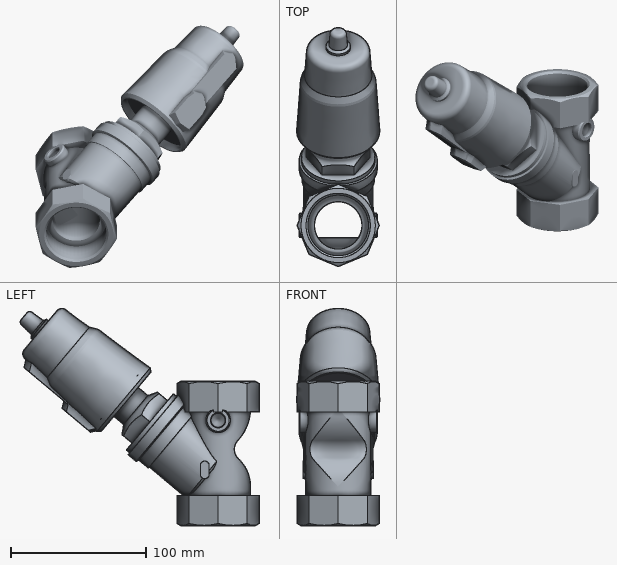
import cadquery as cq
import math

BODY_LENGTH = 107.0
BODY_RADIUS = 24.1
END_ACROSS_FLATS = 56.3
END_HEIGHT = 22.6
END_FACE_DIAMETER = 55.0
END_CHAMFER_ANGLE = 30.0
BORE_DIAMETER = 35.0
SOCKET_DIAMETER = 44.84
SOCKET_DEPTH = 20.0
SOCKET_CHAMFER = 1.4

WAIST_HEIGHT = 56.6
WAIST_DEPTH = 12.0
WAIST_THROAT_RADIUS = 9.8
WAIST_LOWER_LENGTH = 27.7
WAIST_UPPER_LENGTH = 30.6
WEIR_RIDGE_Y = -9.0

LUG_DIAMETER = 18.2
LUG_REACH = 29.1
LUG_HEIGHT = 78.1
LUG_CHAMFER = 0.9
LUG_HOLE_DIAMETER = 10.4
LUG_HOLE_DEPTH = 3.0
LUG_HOLE_CHAMFER = 0.4
DRILL_POINT_ANGLE = 118.0
PAD_LENGTH = 13.0
PAD_WIDTH = 6.6
PAD_REACH = 26.1
PAD_Y = 9.9
PAD_HEIGHT = 41.4

HEAD_ELEVATION = 40.0
HEAD_ORIGIN_HEIGHT = 34.55

BRANCH_START = 7.6
BRANCH_CHAMFER = 1.6
BRANCH_RADIUS = 51.7 / 2
BRANCH_COLLAR_RADIUS = 26.95
BRANCH_COLLAR_START = 44.8
FLANGE_START = 54.0
FLANGE_CONE = 0.8
FLANGE_RADIUS = 29.0
FLANGE_LIP_START = 62.6
FLANGE_LIP_RADIUS = 54.4 / 2
FLANGE_END = 65.9

HEX_ACROSS_FLATS = 41.0
HEX_END = 79.6
HEX_CHAMFER_ANGLE = 30.0
NECK_RADIUS = 28.0 / 2

SKIRT_START = 89.0
SKIRT_RECESS_RADIUS = 27.7
SKIRT_RECESS_DEPTH = 6.0
SKIRT_FOOT_RADIUS = 28.9
SKIRT_WIDEST = 91.4
SKIRT_WIDEST_RADIUS = 30.84
SHOULDER_START = 138.0
SHOULDER_START_RADIUS = 28.1
SHOULDER_CONE_START = 140.0
SHOULDER_CONE_START_RADIUS = 27.6
SHOULDER_CONE_END = 145.2
SHOULDER_CONE_END_RADIUS = 25.0
CAP_START = 147.0
CAP_START_RADIUS = 24.8
CAP_END = 171.5
CAP_END_RADIUS = 23.6
CAP_FILLET = 4.7
COLLAR_RADIUS = 18.2 / 2
COLLAR_HEIGHT = 1.8
COLLAR_CONE = 1.3
STEM_BASE_RADIUS = 6.9
STEM_TIP_RADIUS = 6.1
STEM_END = 187.55
STEM_FILLET = 2.8

RAIL_LOW_ROOT = 20.0
RAIL_LOW_REACH = 29.1
RAIL_LOW_START = 105.0
RAIL_LOW_END = 163.2
RAIL_LOW_NOSE = 5.2
RAIL_HIGH_ROOT = 28.0
RAIL_HIGH_REACH = 34.1
RAIL_HIGH_START = 94.6
RAIL_HIGH_END = 122.2
RAIL_HIGH_NOSE = 4.2
RAIL_START_NOSE = 2.2
RAIL_NOSE_HALF_WIDTH = 0.5
RAIL_HALF_WIDTH = 7.7
RAIL_WIDE_HALF_WIDTH = 9.0
RAIL_WIDE_START = 112.1
RAIL_WIDE_END = 117.3
RAIL_START_SLOPE = 0.75
RAIL_END_SLOPE = 0.5


def cylinder(radius, start, end):
    return cq.Workplane("XY").workplane(offset=start).circle(radius).extrude(end - start)


def end_octagon():
    """Octagonal end with its outer corners chamfered at the bottom, face on z = 0."""
    across_corners = END_ACROSS_FLATS / math.cos(math.pi / 8)
    octagon = cq.Workplane("XY").polygon(8, across_corners).extrude(END_HEIGHT)
    slope = math.tan(math.radians(END_CHAMFER_ANGLE))
    face_radius = END_FACE_DIAMETER / 2
    envelope = (
        cq.Workplane("XZ")
        .polyline(
            [
                (0, 0),
                (face_radius, 0),
                (face_radius + END_HEIGHT / slope, END_HEIGHT),
                (0, END_HEIGHT),
            ]
        )
        .close()
        .revolve(360, (0, 0), (0, 1))
    )
    return octagon.intersect(envelope)


def end_socket():
    """Counterbore with a chamfered mouth, opening on z = 0."""
    radius = SOCKET_DIAMETER / 2
    return (
        cq.Workplane("XZ")
        .polyline(
            [
                (0, 0),
                (radius + SOCKET_CHAMFER, 0),
                (radius, SOCKET_CHAMFER),
                (radius, SOCKET_DEPTH),
                (0, SOCKET_DEPTH),
            ]
        )
        .close()
        .revolve(360, (0, 0), (0, 1))
    )


def at_both_ends(shape):
    mirrored = shape.mirror("XY").translate((0, 0, BODY_LENGTH))
    return shape.union(mirrored)


def waist_shoulder(length, direction):
    """Points (y, z) of the convex shoulder arc: throat tangent point, middle and outer end.

    The shoulder is tangent to the body surface at its outer end and to the throat circle.
    """
    throat_y = -BODY_RADIUS + WAIST_DEPTH - WAIST_THROAT_RADIUS
    centre_distance = (WAIST_DEPTH**2 + length**2) / (2 * WAIST_DEPTH)
    radius = centre_distance - WAIST_THROAT_RADIUS
    centre_y = radius - BODY_RADIUS
    sweep = math.atan2(length, centre_y - throat_y)

    def point_at(angle):
        y = centre_y - radius * math.cos(angle)
        z = direction * (length - radius * math.sin(angle))
        return (y, z)

    return point_at(sweep), point_at(sweep / 2), point_at(0)


def waist_cutter():
    """Prism along X whose outline is two convex shoulders joined by a concave throat."""
    low_tangent, low_middle, low_end = waist_shoulder(WAIST_LOWER_LENGTH, -1)
    high_tangent, high_middle, high_end = waist_shoulder(WAIST_UPPER_LENGTH, 1)
    outside_y = -2 * BODY_RADIUS
    return (
        cq.Workplane("YZ")
        .moveTo(outside_y, low_end[1])
        .lineTo(*low_end)
        .threePointArc(low_middle, low_tangent)
        .threePointArc((-BODY_RADIUS + WAIST_DEPTH, 0), high_tangent)
        .threePointArc(high_middle, high_end)
        .lineTo(outside_y, high_end[1])
        .close()
        .extrude(2 * BODY_RADIUS, both=True)
        .translate((0, 0, WAIST_HEIGHT))
    )


def weir():
    """Prism along X kept out of the bore: two arcs leave the bore wall and meet in a sharp ridge."""
    wall_y = -BORE_DIAMETER / 2
    rise = WEIR_RIDGE_Y - wall_y

    def arc_middle(length):
        radius = (rise**2 + length**2) / (2 * rise)
        half_length = length / 2
        return wall_y + radius - math.sqrt(radius**2 - half_length**2), half_length

    low_y, low_z = arc_middle(WAIST_LOWER_LENGTH)
    high_y, high_z = arc_middle(WAIST_UPPER_LENGTH)
    return (
        cq.Workplane("YZ")
        .moveTo(wall_y, -WAIST_LOWER_LENGTH)
        .threePointArc((low_y, -low_z), (WEIR_RIDGE_Y, 0))
        .threePointArc((high_y, high_z), (wall_y, WAIST_UPPER_LENGTH))
        .close()
        .extrude(BORE_DIAMETER, both=True)
        .translate((0, 0, WAIST_HEIGHT))
    )


def lug_outline(points):
    """Revolve (radius, x) points about the X direction and raise the result to lug height."""
    return (
        cq.Workplane("XY")
        .polyline([(x, radius) for radius, x in points])
        .close()
        .revolve(360, (0, 0), (1, 0))
        .translate((0, 0, LUG_HEIGHT))
    )


def lug():
    radius = LUG_DIAMETER / 2
    return lug_outline(
        [
            (0, 0),
            (radius, 0),
            (radius, LUG_REACH - LUG_CHAMFER),
            (radius - LUG_CHAMFER, LUG_REACH),
            (0, LUG_REACH),
        ]
    )


def lug_hole():
    radius = LUG_HOLE_DIAMETER / 2
    shoulder_x = LUG_REACH - LUG_HOLE_DEPTH
    point_depth = radius / math.tan(math.radians(DRILL_POINT_ANGLE / 2))
    return lug_outline(
        [
            (0, LUG_REACH),
            (radius + LUG_HOLE_CHAMFER, LUG_REACH),
            (radius, LUG_REACH - LUG_HOLE_CHAMFER),
            (radius, shoulder_x),
            (0, shoulder_x - point_depth),
        ]
    )


def arrow_pad():
    return (
        cq.Workplane("YZ")
        .center(PAD_Y, PAD_HEIGHT)
        .slot2D(PAD_LENGTH, PAD_WIDTH, 90)
        .extrude(PAD_REACH)
    )


def on_both_sides(shape):
    return shape.union(shape.mirror("YZ"))


def branch():
    """Branch pipe with its collar and the stepped union flange."""
    return (
        cq.Workplane("XZ")
        .moveTo(0, BRANCH_START)
        .lineTo(BRANCH_RADIUS - BRANCH_CHAMFER, BRANCH_START)
        .lineTo(BRANCH_RADIUS, BRANCH_START + BRANCH_CHAMFER)
        .lineTo(BRANCH_RADIUS, BRANCH_COLLAR_START)
        .lineTo(BRANCH_COLLAR_RADIUS, BRANCH_COLLAR_START)
        .lineTo(BRANCH_COLLAR_RADIUS, FLANGE_START)
        .lineTo(FLANGE_RADIUS, FLANGE_START + FLANGE_CONE)
        .lineTo(FLANGE_RADIUS, FLANGE_LIP_START)
        .lineTo(FLANGE_LIP_RADIUS, FLANGE_LIP_START)
        .lineTo(FLANGE_LIP_RADIUS, FLANGE_END)
        .lineTo(0, FLANGE_END)
        .close()
        .revolve(360, (0, 0), (0, 1))
    )


def union_hexagon():
    """Hexagon tapering to the neck, with corners on the X axis."""
    across_corners = HEX_ACROSS_FLATS / math.cos(math.pi / 6)
    height = HEX_END - FLANGE_END
    hexagon = cq.Workplane("XY").workplane(offset=FLANGE_END).polygon(6, across_corners).extrude(height)
    base_radius = NECK_RADIUS + height / math.tan(math.radians(HEX_CHAMFER_ANGLE))
    envelope = (
        cq.Workplane("XZ")
        .polyline([(0, FLANGE_END), (base_radius, FLANGE_END), (NECK_RADIUS, HEX_END), (0, HEX_END)])
        .close()
        .revolve(360, (0, 0), (0, 1))
    )
    return hexagon.intersect(envelope)


def actuator():
    """Tapered actuator housing, recessed underneath, with the indicator stem on top."""
    recess_floor = SKIRT_START + SKIRT_RECESS_DEPTH
    fillet_middle = CAP_FILLET * (1 - math.sqrt(0.5))
    collar_top = CAP_END + COLLAR_HEIGHT
    stem_start = collar_top + COLLAR_CONE
    stem_middle = STEM_FILLET * (1 - math.sqrt(0.5))
    return (
        cq.Workplane("XZ")
        .moveTo(0, HEX_END)
        .lineTo(NECK_RADIUS, HEX_END)
        .lineTo(NECK_RADIUS, recess_floor)
        .lineTo(SKIRT_RECESS_RADIUS, recess_floor)
        .lineTo(SKIRT_RECESS_RADIUS, SKIRT_START)
        .lineTo(SKIRT_FOOT_RADIUS, SKIRT_START)
        .lineTo(SKIRT_WIDEST_RADIUS, SKIRT_WIDEST)
        .lineTo(SHOULDER_START_RADIUS, SHOULDER_START)
        .lineTo(SHOULDER_CONE_START_RADIUS, SHOULDER_CONE_START)
        .lineTo(SHOULDER_CONE_END_RADIUS, SHOULDER_CONE_END)
        .lineTo(CAP_START_RADIUS, CAP_START)
        .lineTo(CAP_END_RADIUS, CAP_END - CAP_FILLET)
        .threePointArc(
            (CAP_END_RADIUS - fillet_middle, CAP_END - fillet_middle),
            (CAP_END_RADIUS - CAP_FILLET, CAP_END),
        )
        .lineTo(COLLAR_RADIUS, CAP_END)
        .lineTo(COLLAR_RADIUS, collar_top)
        .lineTo(STEM_BASE_RADIUS, stem_start)
        .lineTo(STEM_TIP_RADIUS, STEM_END - STEM_FILLET)
        .threePointArc(
            (STEM_TIP_RADIUS - stem_middle, STEM_END - stem_middle),
            (STEM_TIP_RADIUS - STEM_FILLET, STEM_END),
        )
        .lineTo(0, STEM_END)
        .close()
        .revolve(360, (0, 0), (0, 1))
    )


def rail_step(half_outline, root, reach):
    """Loft from reach back to root along local Y; the ends flare outward toward the root.

    half_outline runs along the +X side as (x, z) points at reach. Its first two points
    belong to the lower end and its last two to the upper end.
    """
    depth = reach - root
    flared = []
    for index, (x, z) in enumerate(half_outline):
        if index < 2:
            z = z - RAIL_START_SLOPE * depth
        elif index >= len(half_outline) - 2:
            z = z + RAIL_END_SLOPE * depth
        flared.append((x, z))

    def closed(points):
        return points + [(-x, z) for x, z in reversed(points)]

    return (
        cq.Workplane("XZ", origin=(0, reach, 0))
        .polyline(closed(half_outline))
        .close()
        .workplane(offset=depth)
        .polyline(closed(flared))
        .close()
        .loft(ruled=True)
    )


def rail():
    low_step = rail_step(
        [
            (RAIL_NOSE_HALF_WIDTH, RAIL_LOW_START),
            (RAIL_HALF_WIDTH, RAIL_LOW_START),
            (RAIL_HALF_WIDTH, RAIL_LOW_END - RAIL_LOW_NOSE),
            (RAIL_NOSE_HALF_WIDTH, RAIL_LOW_END),
        ],
        RAIL_LOW_ROOT,
        RAIL_LOW_REACH,
    )
    high_step = rail_step(
        [
            (RAIL_NOSE_HALF_WIDTH, RAIL_HIGH_START),
            (RAIL_WIDE_HALF_WIDTH, RAIL_HIGH_START + RAIL_START_NOSE),
            (RAIL_WIDE_HALF_WIDTH, RAIL_WIDE_START),
            (RAIL_HALF_WIDTH, RAIL_WIDE_END),
            (RAIL_HALF_WIDTH, RAIL_HIGH_END - RAIL_HIGH_NOSE),
            (RAIL_NOSE_HALF_WIDTH, RAIL_HIGH_END),
        ],
        RAIL_HIGH_ROOT,
        RAIL_HIGH_REACH,
    )
    return low_step.union(high_step)


def build_head():
    head = branch().union(union_hexagon()).union(actuator()).union(rail())
    tilted = head.rotate((0, 0, 0), (1, 0, 0), HEAD_ELEVATION - 90)
    return tilted.translate((0, 0, HEAD_ORIGIN_HEIGHT))


def build_body():
    body = cylinder(BODY_RADIUS, 0, BODY_LENGTH).cut(waist_cutter())
    return body.union(at_both_ends(end_octagon()))


bore = cylinder(BORE_DIAMETER / 2, 0, BODY_LENGTH).cut(weir())
result = (
    build_body()
    .union(on_both_sides(lug()))
    .union(build_head())
    .union(on_both_sides(arrow_pad()))
    .cut(bore)
    .cut(at_both_ends(end_socket()))
    .cut(on_both_sides(lug_hole()))
)